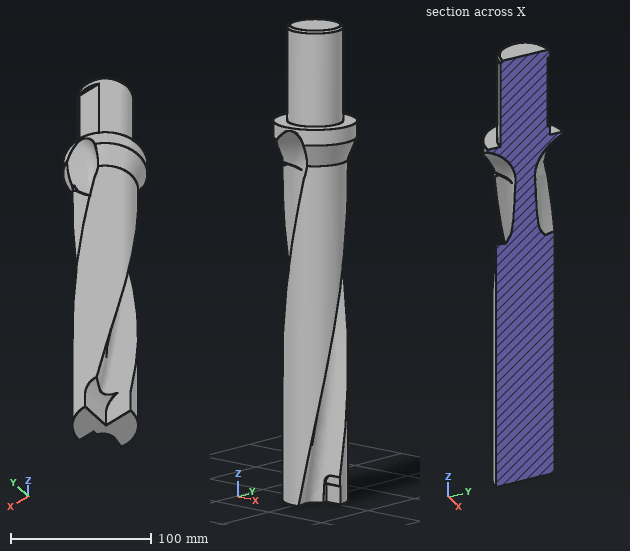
import cadquery as cq
import math

TOTAL_LENGTH = 347.5
COLLAR_DIAMETER = 60.0
SHANK_DIAMETER = 40.0
BODY_DIAMETER = 47.0
BODY_RADIUS = BODY_DIAMETER / 2

SHANK_LENGTH = 70.0
COLLAR_HEIGHT = 11.5
CONE_HEIGHT = 16.7
SHANK_CHAMFER = 1.7

COLLAR_TOP = TOTAL_LENGTH - SHANK_LENGTH
CONE_TOP = COLLAR_TOP - COLLAR_HEIGHT
BODY_TOP = CONE_TOP - CONE_HEIGHT

FLAT_DEPTH = 2.0
FLAT_LENGTH = 55.5
FLAT_TOP_MARGIN = 7.0

FULL_TURN = 360.0
HALF_TURN = FULL_TURN / 2
FLUTE_BOTTOM_RADIUS = 10.0
FLUTE_OPENING = 69.0
FLUTE_LEAD = 711.0
FLUTE_START = 135.0
FLUTE_TOP = 246.0
FLUTE_REACH = 33.0
RUNOUT_RADIUS = 34.0
RUNOUT_SWEEP = 75.0
RUNOUT_LEAN = 24.0
RUNOUT_OVERLAP = 10.0

POCKET_REACH = BODY_DIAMETER
INNER_FLOOR = 0.7
INNER_HEIGHT = 27.8
INNER_ROOF_RADIUS = 14.3
OUTER_FLOOR = 10.0
OUTER_HEIGHT = 20.0
OUTER_ROOF_RADIUS = 5.2
SEAT_HEIGHT = 13.5
SEAT_STEP = 0.7

half_opening = math.radians(FLUTE_OPENING / 2)
bottom_center = FLUTE_BOTTOM_RADIUS / math.sin(half_opening)
flute_depth_radius = bottom_center - FLUTE_BOTTOM_RADIUS


def turn_about_z(shape, angle):
    return shape.rotate((0, 0, 0), (0, 0, 1), angle)


def make_blank():
    """Round blank: body, cone, collar and shank with a chamfered end."""
    profile = (
        cq.Workplane("XZ")
        .lineTo(BODY_RADIUS, 0)
        .lineTo(BODY_RADIUS, BODY_TOP)
        .lineTo(COLLAR_DIAMETER / 2, CONE_TOP)
        .lineTo(COLLAR_DIAMETER / 2, COLLAR_TOP)
        .lineTo(SHANK_DIAMETER / 2, COLLAR_TOP)
        .lineTo(SHANK_DIAMETER / 2, TOTAL_LENGTH - SHANK_CHAMFER)
        .lineTo(SHANK_DIAMETER / 2 - SHANK_CHAMFER, TOTAL_LENGTH)
        .lineTo(0, TOTAL_LENGTH)
        .close()
    )
    return profile.revolve(FULL_TURN, (0, 0, 0), (0, 1, 0))


def make_flat_cutter():
    """Block that leaves the clamping flat on the shank."""
    flat_bottom = TOTAL_LENGTH - FLAT_TOP_MARGIN - FLAT_LENGTH
    return (
        cq.Workplane("XY")
        .box(SHANK_DIAMETER, SHANK_DIAMETER, FLAT_LENGTH, centered=(True, False, False))
        .translate((0, SHANK_DIAMETER / 2 - FLAT_DEPTH, flat_bottom))
    )


def flute_profile():
    """Flute cross-section, opening toward +X."""
    wall_start = FLUTE_BOTTOM_RADIUS / math.tan(half_opening)
    cos_half = math.cos(half_opening)
    sin_half = math.sin(half_opening)
    return (
        cq.Workplane("XY")
        .moveTo(FLUTE_REACH * cos_half, -FLUTE_REACH * sin_half)
        .lineTo(wall_start * cos_half, -wall_start * sin_half)
        .threePointArc((flute_depth_radius, 0), (wall_start * cos_half, wall_start * sin_half))
        .lineTo(FLUTE_REACH * cos_half, FLUTE_REACH * sin_half)
        .close()
    )


def make_flute_cutters():
    """Helical flute and the curved run-out that lifts it out through the collar."""
    total_twist = FULL_TURN * FLUTE_TOP / FLUTE_LEAD
    helix = flute_profile().twistExtrude(FLUTE_TOP, total_twist)

    axis_distance = flute_depth_radius + RUNOUT_RADIUS
    runout = (
        flute_profile()
        .revolve(RUNOUT_SWEEP + RUNOUT_OVERLAP, (axis_distance, 0, 0), (axis_distance, 1, 0))
        .rotate((axis_distance, 0, 0), (axis_distance, 1, 0), -RUNOUT_OVERLAP)
        .rotate((0, 0, 0), (1, 0, 0), -RUNOUT_LEAN)
        .translate((0, 0, FLUTE_TOP))
    )
    runout = turn_about_z(runout, total_twist)
    return [turn_about_z(cutter, FLUTE_START) for cutter in (helix, runout)]


def make_pocket(floor, height, roof_radius):
    """Pocket in the +X, -Y quarter whose floor curves into its roof; the seat lies in the plane y = 0."""
    return (
        cq.Workplane("XZ")
        .moveTo(floor, 0)
        .lineTo(floor, height - roof_radius)
        .radiusArc((floor + roof_radius, height), roof_radius)
        .lineTo(POCKET_REACH, height)
        .lineTo(POCKET_REACH, 0)
        .close()
        .extrude(POCKET_REACH)
    )


result = make_blank().cut(make_flat_cutter())

for flute_cutter in make_flute_cutters():
    result = result.cut(flute_cutter).cut(turn_about_z(flute_cutter, HALF_TURN))

inner_pocket = turn_about_z(make_pocket(INNER_FLOOR, INNER_HEIGHT, INNER_ROOF_RADIUS), HALF_TURN)
outer_pocket = make_pocket(OUTER_FLOOR, OUTER_HEIGHT, OUTER_ROOF_RADIUS)
outer_seat = (
    cq.Workplane("XY")
    .box(POCKET_REACH, SEAT_STEP, SEAT_HEIGHT, centered=False)
    .translate((OUTER_FLOOR, 0, 0))
)
result = result.cut(inner_pocket).cut(outer_pocket).cut(outer_seat)